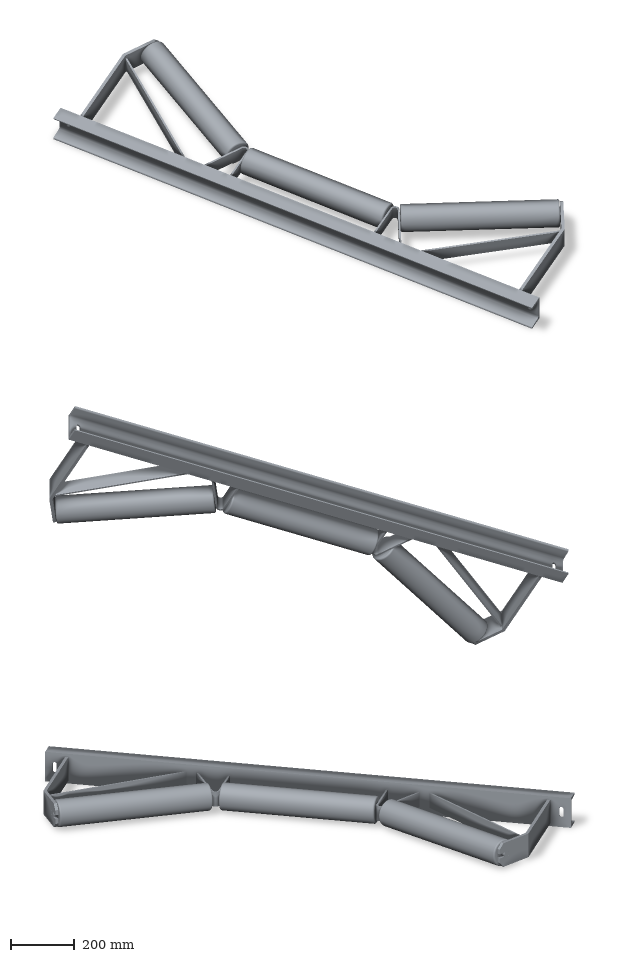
import cadquery as cq
import math


beam_length = 1700.0
beam_depth = 100.0
flange_width = 50.0
web_thickness = 6.0
flange_thickness = 8.0
flange_slope = 0.08
root_radius = 8.0
toe_radius = 4.5
slot_width = 14.0
slot_length = 35.0
slot_from_end = 30.0

roller_radius = 45.0
roller_length = 502.0
roller_edge_radius = 5.0
shaft_radius = 10.0
shaft_flat_width = 14.0
trough_angle = 30.0
middle_roller_height = 115.0
side_roller_x = 507.0
side_roller_height = 253.0

outer_strip_width = 80.0
roller_clearance = 2.0
outer_strip_thickness = 10.0
outer_strip_tip = 30.0
outer_tip_chamfer = 17.0
outer_bend_height = 298.0
outer_bend_radius = 10.0
inner_strip_width = 50.0
inner_strip_thickness = 6.0
inner_bend_radius = 15.0
brace_thickness = 6.0
brace_width = inner_strip_width
brace_foot_x = 403.0

tilt = math.radians(trough_angle)
cos_tilt = math.cos(tilt)
sin_tilt = math.sin(tilt)
bracket_face = roller_length / 2 + roller_clearance
outer_face = bracket_face + outer_strip_thickness
inner_back = bracket_face + inner_strip_thickness
outer_bend_across = (outer_bend_height - side_roller_height - outer_face * sin_tilt) / cos_tilt
overcut = 17.0


def side_point(along, across):
    """Point given from the left roller's centre: along its axis (uphill) and square to it."""
    x = -side_roller_x - along * cos_tilt + across * sin_tilt
    y = side_roller_height + along * sin_tilt + across * cos_tilt
    return (x, y)


bend_outside = side_point(outer_face, outer_bend_across)
bend_inside = (
    bend_outside[0] + outer_strip_thickness,
    bend_outside[1] - outer_strip_thickness * math.tan(tilt / 2),
)


def place_on_left(body):
    """Move a body from a roller lying along X at the origin to the left, tilted roller."""
    turned = body.rotate((0, 0, 0), (0, 0, 1), -trough_angle)
    return turned.translate((-side_roller_x, side_roller_height, 0))


def place_in_middle(body):
    """Move a body from a roller lying along X at the origin to the middle roller."""
    return body.translate((0, middle_roller_height, 0))


def extrude_strip(outline, width):
    """Extrude a closed XY outline to a strip centred on Z = 0."""
    return outline.extrude(width / 2, both=True)


def make_channel():
    """Channel with tapered flanges pointing to -Y and a mounting slot near each end of its web."""
    half_depth = beam_depth / 2
    taper = flange_slope * flange_width / 2
    tip_z = half_depth - flange_thickness + taper
    root_z = tip_z - flange_slope * (flange_width - web_thickness)
    beam = (
        cq.Workplane("YZ")
        .moveTo(0, -half_depth)
        .lineTo(0, half_depth)
        .lineTo(-flange_width, half_depth)
        .lineTo(-flange_width, tip_z)
        .lineTo(-web_thickness, root_z)
        .lineTo(-web_thickness, -root_z)
        .lineTo(-flange_width, -tip_z)
        .lineTo(-flange_width, -half_depth)
        .close()
        .extrude(beam_length / 2, both=True)
    )
    for z in (root_z, -root_z):
        beam = beam.edges(cq.NearestToPointSelector((0, -web_thickness, z))).fillet(root_radius)
    for z in (tip_z, -tip_z):
        beam = beam.edges(cq.NearestToPointSelector((0, -flange_width, z))).fillet(toe_radius)
    slot_x = beam_length / 2 - slot_from_end
    slots = (
        cq.Workplane("XZ")
        .pushPoints([(-slot_x, 0), (slot_x, 0)])
        .slot2D(slot_length, slot_width, 90)
        .extrude(web_thickness + overcut)
    )
    return beam.cut(slots)


def make_shaft(left_reach, right_reach):
    """Shaft along X with two flats, reaching from the origin to each side."""
    length = left_reach + right_reach
    shaft = cq.Workplane("YZ").workplane(offset=-left_reach).circle(shaft_radius).extrude(length)
    flats = cq.Workplane("XY").box(2 * length, 2 * shaft_radius, shaft_flat_width)
    return shaft.intersect(flats)


def make_roller(left_reach, right_reach):
    """Roller along X with its centre at the origin; the reaches are to the ends of its shaft."""
    left_end = cq.Workplane("YZ").workplane(offset=-roller_length / 2)
    barrel = left_end.circle(roller_radius).extrude(roller_length)
    barrel = barrel.faces("<X or >X").edges().fillet(roller_edge_radius)
    return barrel.union(make_shaft(left_reach, right_reach))


def make_outer_bracket():
    """Upright strip at the left, bent at the top to stand square to the side roller."""
    outline = (
        cq.Workplane("XY")
        .moveTo(bend_outside[0], 0)
        .lineTo(*bend_outside)
        .lineTo(*side_point(outer_face, outer_strip_tip))
        .lineTo(*side_point(bracket_face, outer_strip_tip))
        .lineTo(*bend_inside)
        .lineTo(bend_inside[0], 0)
        .close()
    )
    bracket = extrude_strip(outline, outer_strip_width)
    bracket = bracket.edges(cq.NearestToPointSelector((*bend_outside, 0))).fillet(outer_bend_radius)
    tip = side_point((outer_face + bracket_face) / 2, outer_strip_tip)
    for z in (-outer_strip_width / 2, outer_strip_width / 2):
        bracket = bracket.edges(cq.NearestToPointSelector((*tip, z))).chamfer(outer_tip_chamfer)
    slot_height = outer_strip_tip + shaft_radius + overcut
    slot = (
        cq.Workplane("XY")
        .box(2 * outer_strip_thickness + overcut, slot_height, shaft_flat_width)
        .translate((-outer_face, slot_height / 2 - shaft_radius, 0))
    )
    return bracket.cut(place_on_left(slot))


def make_inner_bracket():
    """Strip folded over between the left and middle rollers, with one leg square to each."""
    bend_x = -bracket_face - inner_bend_radius
    bend_along = -bracket_face - inner_bend_radius
    bend_across = (bend_x + side_roller_x + bend_along * cos_tilt) / sin_tilt
    bend_y = side_point(bend_along, bend_across)[1]
    crown_angle = math.radians(90) - tilt / 2
    inside_radius = inner_bend_radius - inner_strip_thickness

    def crown(radius):
        """Middle of the bend's arc of this radius."""
        return (bend_x + radius * math.cos(crown_angle), bend_y + radius * math.sin(crown_angle))

    def tilted_foot(along):
        """Point on the channel reached by the tilted leg's face at this place on the roller axis."""
        across = -(side_roller_height + along * sin_tilt) / cos_tilt
        return side_point(along, across)

    outline = (
        cq.Workplane("XY")
        .moveTo(-bracket_face, 0)
        .lineTo(-bracket_face, bend_y)
        .threePointArc(crown(inner_bend_radius), side_point(-bracket_face, bend_across))
        .lineTo(*tilted_foot(-bracket_face))
        .lineTo(*tilted_foot(-inner_back))
        .lineTo(*side_point(-inner_back, bend_across))
        .threePointArc(crown(inside_radius), (-inner_back, bend_y))
        .lineTo(-inner_back, 0)
        .close()
    )
    bracket = extrude_strip(outline, inner_strip_width)
    shaft = make_shaft(inner_back, inner_back)
    return bracket.cut(place_on_left(shaft)).cut(place_in_middle(shaft))


def make_brace():
    """Sloping strip from the bend of the left outer bracket down to the channel."""
    slope = math.atan2(bend_inside[1], -brace_foot_x - bend_inside[0])
    foot_length = brace_thickness / math.sin(slope)
    contact = brace_thickness / math.sin(slope + math.radians(90) - tilt)
    outline = (
        cq.Workplane("XY")
        .moveTo(*bend_inside)
        .lineTo(-brace_foot_x, 0)
        .lineTo(-brace_foot_x + foot_length, 0)
        .lineTo(bend_inside[0] + contact * sin_tilt, bend_inside[1] + contact * cos_tilt)
        .close()
    )
    return extrude_strip(outline, brace_width)


def both_sides(body):
    """The left body and its mirror image on the right."""
    return [body.val(), body.mirror("YZ").val()]


channel = make_channel()
middle_roller = place_in_middle(make_roller(inner_back, inner_back))
side_roller = place_on_left(make_roller(outer_face, inner_back))
outer_bracket = make_outer_bracket()
inner_bracket = make_inner_bracket()
brace = make_brace()

result = cq.Compound.makeCompound(
    [
        channel.val(),
        middle_roller.val(),
        *both_sides(side_roller),
        *both_sides(outer_bracket),
        *both_sides(inner_bracket),
        *both_sides(brace),
    ]
)